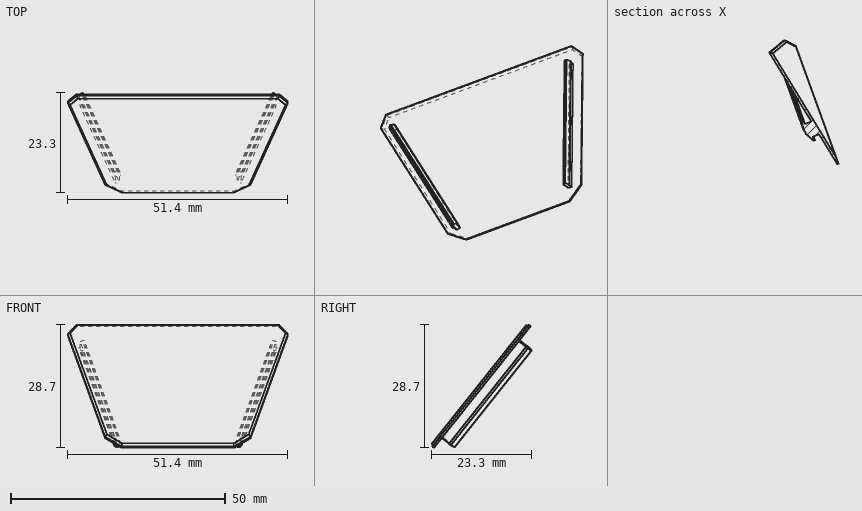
import cadquery as cq
import math

plate_height = 36.25
plate_thickness = 1.0
top_width = 52.94
bottom_width = 32.3
top_corner_cut = 2.85
bottom_corner_cut = 3.0
front_chamfer = 0.5
tilt_angle = 51.5

rail_length = 30.0
rail_thickness = 1.0
rail_inset = 2.25
rail_shift = -1.4
rail_depth = 3.7
barb_overhang = 0.25
barb_start = 2.15
barb_taper_start = 2.7
tip_width = 0.3

side_angle = math.atan2((top_width - bottom_width) / 2, plate_height)
side_sine = math.sin(side_angle)
side_cosine = math.cos(side_angle)


def make_plate():
    """Flat trapezoid with cut corners, its front face on z = 0 and its lower edge on y = 0."""
    half_top = top_width / 2
    half_bottom = bottom_width / 2
    right_corners = [
        (half_bottom - bottom_corner_cut, 0),
        (half_bottom + bottom_corner_cut * side_sine, bottom_corner_cut * side_cosine),
        (half_top - top_corner_cut * side_sine, plate_height - top_corner_cut * side_cosine),
        (half_top - top_corner_cut, plate_height),
    ]
    left_corners = [(-x, y) for x, y in reversed(right_corners)]
    plate = cq.Workplane("XY").polyline(right_corners + left_corners).close().extrude(-plate_thickness)
    return plate.faces(">Z").chamfer(front_chamfer)


def make_right_rail():
    """Arrow-headed rail behind the plate, parallel to the right-hand slanted side."""
    half_stem = rail_thickness / 2
    half_barb = half_stem + barb_overhang
    half_tip = tip_width / 2
    outer_profile = [
        (half_stem, 0),
        (half_stem, barb_start),
        (half_barb, barb_start),
        (half_barb, barb_taper_start),
        (half_tip, rail_depth),
    ]
    inner_profile = [(-v, depth) for v, depth in reversed(outer_profile)]

    inset = rail_inset + half_stem
    side_middle_x = (top_width + bottom_width) / 4
    centre = (
        side_middle_x - inset * side_cosine + rail_shift * side_sine,
        plate_height / 2 + inset * side_sine + rail_shift * side_cosine,
        -plate_thickness,
    )
    profile_plane = cq.Plane(
        origin=centre,
        xDir=(side_cosine, -side_sine, 0),
        normal=(side_sine, side_cosine, 0),
    )
    profile = cq.Workplane(profile_plane).polyline(outer_profile + inner_profile).close()
    return profile.extrude(rail_length / 2, both=True)


right_rail = make_right_rail()
left_rail = right_rail.mirror("YZ")
flat_part = make_plate().union(right_rail).union(left_rail)

result = flat_part.rotate((0, 0, 0), (1, 0, 0), tilt_angle)